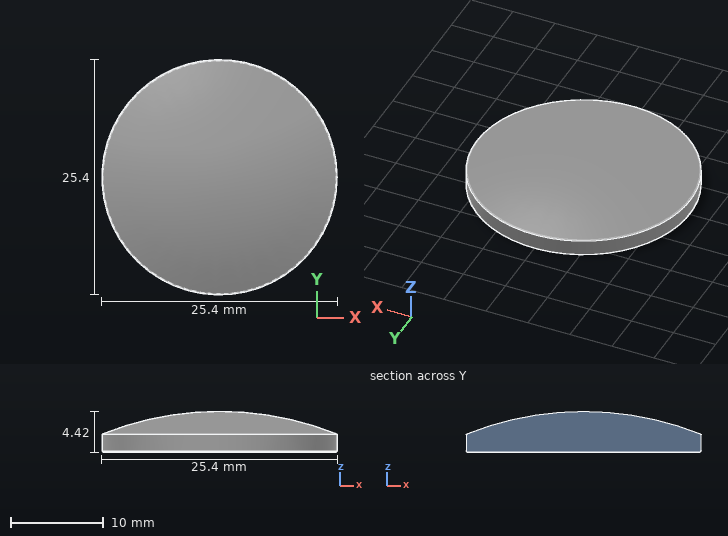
import cadquery as cq
import math

diameter = 25.4
center_thickness = 4.42
rim_height = 2.0
bevel = 0.13
top_bevel_height = 0.08

rim_radius = diameter / 2
face_radius = rim_radius - bevel

sag = center_thickness - rim_height
sphere_radius = (face_radius**2 + sag**2) / (2 * sag)

mid_radius = face_radius / 2
sphere_center_z = center_thickness - sphere_radius
mid_height = sphere_center_z + math.sqrt(sphere_radius**2 - mid_radius**2)

half_profile = (
    cq.Workplane("XZ")
    .lineTo(face_radius, 0)
    .lineTo(rim_radius, bevel)
    .lineTo(rim_radius, rim_height - top_bevel_height)
    .lineTo(face_radius, rim_height)
    .threePointArc((mid_radius, mid_height), (0, center_thickness))
    .close()
)

result = half_profile.revolve(360, (0, 0, 0), (0, 1, 0))